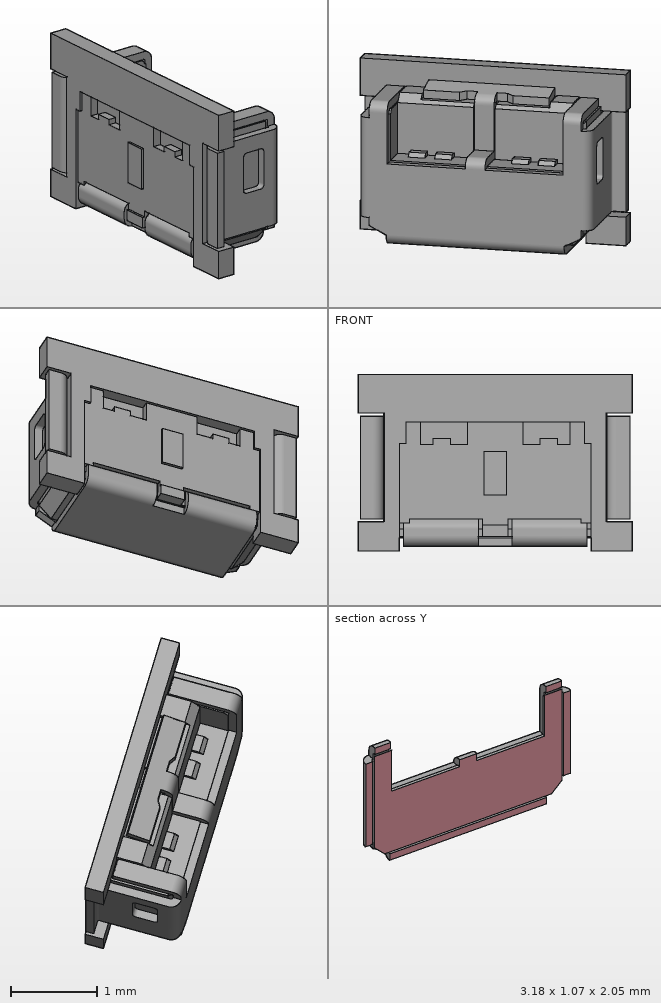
import cadquery as cq

BOARD_WIDTH = 3.18
BOARD_HEIGHT = 2.05
BOARD_THICKNESS = 0.223
LEG_INNER_X = 1.113
OPENING_TOP_X = 1.037
OPENING_STEP_Z = 1.25
OPENING_TOP_Z = 1.498
SIDE_NOTCH_X = 1.285
SIDE_NOTCH_Z = (0.345, 1.603)

DEPTH = 1.07
SHEET = 0.1
BEND_INNER = 0.02
BEND_OUTER = BEND_INNER + SHEET
SHELL_X = 1.393
SHELL_TOP_Z = 1.752
SHELL_BOTTOM_Z = 0.055
SIDE_WALL_Z = (0.372, 1.568)
FLANGE_TIP_X = 1.565
WINDOW_Y = (0.518, 0.817)
WINDOW_Z = (0.868, 1.375)
WINDOW_RADIUS = 0.048
TAB_X = (1.053, 1.27)
TAB_FRONT_Y = 0.242
BACK_TAPER_TOP_Z = 0.277

STRIP_X = 0.118
LATCH_X = 0.755
STRIP_TOP_Z = 1.145
LATCH_RISE_Y = 0.633
LATCH_SHOULDER_Z = 1.685
LATCH_CREST = (0.537, 1.8)
LATCH_TIP = (0.277, 1.857)
LATCH_HEEL = (0.255, 1.76)
RELIEF_Y = 0.49
RELIEF_X = (0.242, 0.318)

HOOK_X = (0.197, 1.065)
HOOK_LIP_X = 0.992
HOOK_FLAT_Z = 0.255
HOOK_NOSE = (0.005, 0.293)
HOOK_SHOULDER = (0.03, 0.328)
HOOK_LIP = (0.08, 0.372)

FACE_Y = 0.03
REAR_CHAMFER = 0.055
HOUSING_CORNER = 0.153
RAISED_FRONT_Y = 0.525
RAISED_REAR_Y = 0.63
LATCH_POCKET_X = 0.77
LATCH_POCKET_Z = 1.695
STRIP_GROOVE_X = 0.13
CONTACT_X = ((0.36, 0.56), (0.677, 0.875))
CONTACT_Y = (0.725, 0.773)
CONTACT_HEIGHT = 0.048
FACE_POCKET_X = (0.32, 0.865)
FACE_POCKET_Z = 1.24
FACE_POCKET_DEPTH = 0.1
KEY_X = (0.52, 0.722)
KEY_TOP_Z = 1.307
PAD_X = 0.13
PAD_Z = (0.65, 1.155)
FOOT_X = 0.15
FOOT_TOP_Z = 0.302
UNDERCUT_HEIGHT = 0.015
UNDERCUT_DEPTH = 0.115
HOOK_RECESS_TOP_Z = 0.375

INNER_X = SHELL_X - SHEET
INNER_REAR_Y = DEPTH - SHEET
INNER_TOP_Z = SHELL_TOP_Z - SHEET
INNER_BOTTOM_Z = SHELL_BOTTOM_Z + SHEET
HOOK_BACK_Y = SHEET
REAR_RECESS_Z = STRIP_TOP_Z - SHEET
REAR_EDGE_Z = STRIP_TOP_Z - BEND_OUTER


def box(x, y, z):
    """Block given by (low, high) pairs along the three axes."""
    size = (x[1] - x[0], y[1] - y[0], z[1] - z[0])
    return cq.Workplane("XY").box(*size, centered=False).translate((x[0], y[0], z[0]))


def centred_box(half_x, y, z):
    return box((-half_x, half_x), y, z)


def both_sides(shape):
    """The shape together with its mirror image across X = 0."""
    return shape.union(shape.mirror("YZ"))


def along_x(profile, x):
    """Extrude a closed YZ profile between two X positions."""
    return profile.extrude(x[1] - x[0]).translate((x[0], 0, 0))


def make_board():
    board = centred_box(BOARD_WIDTH / 2, (0, BOARD_THICKNESS), (0, BOARD_HEIGHT))
    through = (0, BOARD_THICKNESS)
    board = board.cut(centred_box(LEG_INNER_X, through, (0, OPENING_STEP_Z)))
    board = board.cut(centred_box(OPENING_TOP_X, through, (0, OPENING_TOP_Z)))
    notch = box((SIDE_NOTCH_X, BOARD_WIDTH / 2), through, SIDE_NOTCH_Z)
    return board.cut(both_sides(notch))


def make_housing_body():
    body = (
        cq.Workplane("XZ")
        .moveTo(-INNER_X, INNER_TOP_Z)
        .lineTo(INNER_X, INNER_TOP_Z)
        .lineTo(INNER_X, INNER_BOTTOM_Z + HOUSING_CORNER)
        .lineTo(INNER_X - HOUSING_CORNER, INNER_BOTTOM_Z)
        .lineTo(HOUSING_CORNER - INNER_X, INNER_BOTTOM_Z)
        .lineTo(-INNER_X, INNER_BOTTOM_Z + HOUSING_CORNER)
        .close()
        .extrude(-INNER_REAR_Y)
        .faces(">Y")
        .chamfer(REAR_CHAMFER)
    )
    body = body.cut(centred_box(BOARD_WIDTH, (0, FACE_Y), (0, BOARD_HEIGHT)))
    return body.cut(both_sides(box((SIDE_NOTCH_X, INNER_X), (0, BOARD_THICKNESS), (0, BOARD_HEIGHT))))


def add_housing_top(body):
    rear_recess = centred_box(OPENING_TOP_X, (RAISED_REAR_Y, INNER_REAR_Y), (REAR_RECESS_Z, INNER_TOP_Z))
    raised_profile = (
        cq.Workplane("YZ")
        .moveTo(BOARD_THICKNESS, INNER_TOP_Z)
        .lineTo(BOARD_THICKNESS, SHELL_TOP_Z)
        .lineTo(RAISED_FRONT_Y, SHELL_TOP_Z)
        .lineTo(RAISED_REAR_Y, INNER_TOP_Z)
        .close()
    )
    body = body.cut(rear_recess).union(along_x(raised_profile, (-OPENING_TOP_X, OPENING_TOP_X)))

    pocket_y = (BOARD_THICKNESS, RAISED_REAR_Y)
    upright_y = (LATCH_RISE_Y - SHEET, RAISED_REAR_Y)
    body = body.cut(centred_box(LATCH_POCKET_X, pocket_y, (LATCH_POCKET_Z, SHELL_TOP_Z)))
    body = body.cut(centred_box(STRIP_GROOVE_X, pocket_y, (INNER_TOP_Z, SHELL_TOP_Z)))
    body = body.cut(centred_box(STRIP_GROOVE_X, upright_y, (REAR_RECESS_Z, SHELL_TOP_Z)))

    for contact_x in CONTACT_X:
        contact_profile = (
            cq.Workplane("YZ")
            .moveTo(RAISED_REAR_Y, REAR_RECESS_Z)
            .lineTo(RAISED_REAR_Y, REAR_RECESS_Z + CONTACT_HEIGHT)
            .lineTo(CONTACT_Y[0], REAR_RECESS_Z + CONTACT_HEIGHT)
            .lineTo(CONTACT_Y[1], REAR_RECESS_Z)
            .close()
        )
        body = body.union(both_sides(along_x(contact_profile, contact_x)))
    return body


def add_housing_face(body):
    pocket_y = (FACE_Y, FACE_Y + FACE_POCKET_DEPTH)
    pocket = box(FACE_POCKET_X, pocket_y, (FACE_POCKET_Z, OPENING_TOP_Z))
    key = box(KEY_X, pocket_y, (FACE_POCKET_Z, KEY_TOP_Z))
    body = body.cut(both_sides(pocket.cut(key)))
    body = body.union(centred_box(PAD_X, (0, FACE_Y), PAD_Z))

    recess_profile = (
        cq.Workplane("YZ")
        .moveTo(0, INNER_BOTTOM_Z)
        .lineTo(HOOK_BACK_Y, INNER_BOTTOM_Z)
        .lineTo(HOOK_BACK_Y, HOOK_FLAT_Z)
        .lineTo(HOOK_LIP[0], HOOK_FLAT_Z)
        .lineTo(HOOK_LIP[0], HOOK_SHOULDER[1])
        .lineTo(0, HOOK_SHOULDER[1])
        .close()
    )
    recess = along_x(recess_profile, (FOOT_X, LEG_INNER_X))
    lip_recess = box((FOOT_X, HOOK_LIP_X), (0, HOOK_LIP[0]), (HOOK_FLAT_Z, HOOK_RECESS_TOP_Z))
    body = body.cut(both_sides(recess.union(lip_recess)))
    body = body.union(centred_box(FOOT_X, (0, FACE_Y), (INNER_BOTTOM_Z, FOOT_TOP_Z)))
    undercut_z = (INNER_BOTTOM_Z, INNER_BOTTOM_Z + UNDERCUT_HEIGHT)
    return body.cut(centred_box(LEG_INNER_X, (0, UNDERCUT_DEPTH), undercut_z))


def make_side_wall():
    """Wall at +X with its rear bend and its outward front flange."""
    flange_bend_x = SHELL_X + BEND_INNER
    wall = (
        cq.Workplane("XY")
        .moveTo(FLANGE_TIP_X, 0)
        .lineTo(flange_bend_x, 0)
        .radiusArc((INNER_X, BEND_OUTER), BEND_OUTER)
        .lineTo(INNER_X, INNER_REAR_Y - BEND_INNER)
        .radiusArc((INNER_X - BEND_INNER, INNER_REAR_Y), -BEND_INNER)
        .lineTo(TAB_X[1], INNER_REAR_Y)
        .lineTo(TAB_X[1], DEPTH)
        .lineTo(SHELL_X - BEND_OUTER, DEPTH)
        .radiusArc((SHELL_X, DEPTH - BEND_OUTER), BEND_OUTER)
        .lineTo(SHELL_X, BEND_OUTER)
        .radiusArc((flange_bend_x, SHEET), -BEND_INNER)
        .lineTo(FLANGE_TIP_X, SHEET)
        .close()
        .extrude(SIDE_WALL_Z[1] - SIDE_WALL_Z[0])
        .translate((0, 0, SIDE_WALL_Z[0]))
    )
    window = box((INNER_X, SHELL_X), WINDOW_Y, WINDOW_Z).edges("|X").fillet(WINDOW_RADIUS)
    return wall.cut(window)


def make_back_plate():
    edge_x = TAB_X[1]
    top_z = SHELL_TOP_Z - BEND_OUTER
    bottom_z = SHELL_BOTTOM_Z + BEND_OUTER
    plate = (
        cq.Workplane("XZ")
        .polyline([
            (-edge_x, top_z), (edge_x, top_z),
            (edge_x, BACK_TAPER_TOP_Z), (HOOK_X[1], bottom_z),
            (-HOOK_X[1], bottom_z), (-edge_x, BACK_TAPER_TOP_Z),
        ])
        .close()
        .extrude(-SHEET)
        .translate((0, INNER_REAR_Y, 0))
    )
    opening = centred_box(TAB_X[0], (INNER_REAR_Y, DEPTH), (REAR_EDGE_Z, top_z))
    return plate.cut(opening)


def make_forward_strip(x, front_y, top_z):
    """Strip that bends forward from an upper edge of the back plate."""
    profile = (
        cq.Workplane("YZ")
        .moveTo(front_y, top_z - SHEET)
        .lineTo(front_y, top_z)
        .lineTo(DEPTH - BEND_OUTER, top_z)
        .radiusArc((DEPTH, top_z - BEND_OUTER), BEND_OUTER)
        .lineTo(INNER_REAR_Y, top_z - BEND_OUTER)
        .radiusArc((DEPTH - BEND_OUTER, top_z - SHEET), -BEND_INNER)
        .close()
    )
    return along_x(profile, x)


def make_latch():
    """Upright end of the centre strip, bent forward and widened into a tilted paddle."""
    plate_bottom_z = LATCH_CREST[1] - (LATCH_TIP[1] - LATCH_HEEL[1])
    front_y = LATCH_RISE_Y - SHEET
    profile = (
        cq.Workplane("YZ")
        .moveTo(front_y, REAR_RECESS_Z)
        .lineTo(LATCH_RISE_Y, REAR_RECESS_Z)
        .lineTo(LATCH_RISE_Y, LATCH_SHOULDER_Z)
        .tangentArcPoint(LATCH_CREST, relative=False)
        .lineTo(*LATCH_TIP)
        .lineTo(*LATCH_HEEL)
        .lineTo(front_y, plate_bottom_z)
        .close()
    )
    solid = along_x(profile, (-LATCH_X, LATCH_X))
    half_outline = (
        cq.Workplane("XY")
        .polyline([
            (0, 0), (LATCH_X, 0), (LATCH_X, LATCH_CREST[0]), (RELIEF_X[1], LATCH_CREST[0]),
            (RELIEF_X[0], RELIEF_Y), (STRIP_X, RELIEF_Y), (STRIP_X, LATCH_RISE_Y), (0, LATCH_RISE_Y),
        ])
        .close()
        .extrude(BOARD_HEIGHT)
    )
    wing_gap = centred_box(LATCH_X, (front_y, LATCH_RISE_Y), (0, plate_bottom_z))
    strip = centred_box(STRIP_X, (front_y, LATCH_RISE_Y), (0, plate_bottom_z))
    return solid.intersect(both_sides(half_outline)).cut(wing_gap.cut(strip))


def make_bottom_sheet():
    """Sheet that bends forward from the bottom of the back plate."""
    profile = (
        cq.Workplane("YZ")
        .moveTo(BEND_OUTER, SHELL_BOTTOM_Z)
        .lineTo(DEPTH - BEND_OUTER, SHELL_BOTTOM_Z)
        .radiusArc((DEPTH, SHELL_BOTTOM_Z + BEND_OUTER), -BEND_OUTER)
        .lineTo(INNER_REAR_Y, SHELL_BOTTOM_Z + BEND_OUTER)
        .radiusArc((DEPTH - BEND_OUTER, INNER_BOTTOM_Z), BEND_INNER)
        .lineTo(BEND_OUTER, INNER_BOTTOM_Z)
        .close()
    )
    return along_x(profile, (-HOOK_X[1], HOOK_X[1]))


def make_hook():
    """Upturned front end of the bottom sheet on the +X side."""
    bend_z = SHELL_BOTTOM_Z + BEND_OUTER
    profile = (
        cq.Workplane("YZ")
        .moveTo(BEND_OUTER, SHELL_BOTTOM_Z)
        .radiusArc((0, bend_z), BEND_OUTER)
        .lineTo(0, HOOK_FLAT_Z)
        .threePointArc(HOOK_NOSE, HOOK_SHOULDER)
        .lineTo(*HOOK_LIP)
        .lineTo(HOOK_BACK_Y, HOOK_LIP[1])
        .lineTo(HOOK_BACK_Y, bend_z)
        .radiusArc((BEND_OUTER, INNER_BOTTOM_Z), -BEND_INNER)
        .close()
    )
    shoulder = box((HOOK_LIP_X, HOOK_X[1]), (0, BEND_OUTER), (HOOK_SHOULDER[1], BOARD_HEIGHT))
    return along_x(profile, HOOK_X).cut(shoulder)


def make_shell():
    shell = make_back_plate().union(both_sides(make_side_wall()))
    shell = shell.union(both_sides(make_forward_strip(TAB_X, TAB_FRONT_Y, SHELL_TOP_Z)))
    shell = shell.union(make_forward_strip((-STRIP_X, STRIP_X), LATCH_RISE_Y, STRIP_TOP_Z))
    shell = shell.union(make_latch())
    return shell.union(make_bottom_sheet()).union(both_sides(make_hook()))


housing = add_housing_face(add_housing_top(make_housing_body()))
result = make_board().union(housing).union(make_shell())